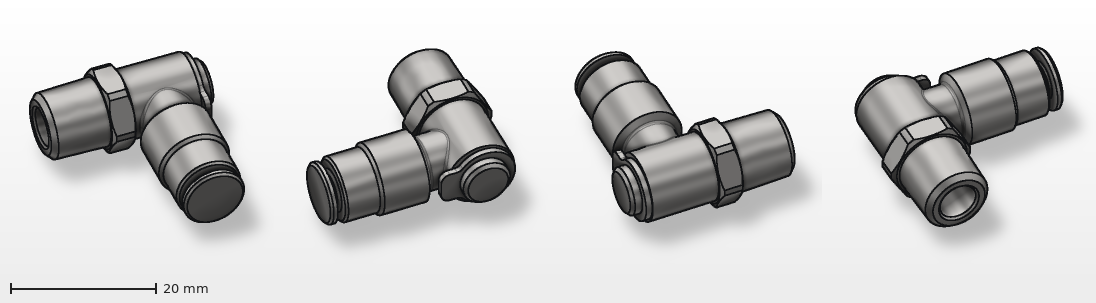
import cadquery as cq
import math


hex_across_flats = 11.0
hex_corner_radius = 6.08
hex_chamfer_radius = 5.38
hex_chamfer_angle = 30
hex_front = -8.5
hex_back = -4.95

body_radius = 5.0
body_end = body_radius
body_start = -body_radius
thread_end = -16.98
thread_root_radius = 4.98
thread_tip_radius = 4.78
thread_chamfer = 0.8
shaft_radius = 3.5
shaft_end = 7.53
shaft_chamfer = 0.5

bore_radius = 2.75
bore_mouth_chamfer = 0.35
bore_bottom = 0
pilot_radius = 1.05
pilot_length = 2 * pilot_radius
drill_point_angle = 118

ring_radius = 4.45
ring_offset = 0.3
ring_thickness = 0.9
lug_half_width = 2.43
lug_reach = 6.35
lug_corner_radius = 1.3
lug_fillet_radius = 1.08

neck_radius = 4.0
neck_body_fillet = 0.37
neck_sleeve_fillet = 0.5
sleeve_radius = 5.24
sleeve_start = 7.78
sleeve_end = 14.52
sleeve_cone_angle = 60
socket_radius = 4.75
socket_end = 20.1
socket_chamfer = 0.35

button_root_radius = 3.15
button_neck_radius = 2.58
button_neck_start = 20.45
button_neck_end = 20.89
button_flare = 0.17
flange_start = 21.25
flange_radius = 4.5
flange_chamfer = 0.37
flange_end = 28.3 - hex_corner_radius


def revolve_stem(points):
    """Revolve a closed (radius, y) outline about the Y axis."""
    return cq.Workplane("XY").polyline(points).close().revolve(360, (0, 0), (0, 1))


def revolve_port(points):
    """Revolve a closed (x, radius) outline about the X axis."""
    return cq.Workplane("XY").polyline(points).close().revolve(360, (0, 0), (1, 0))


def make_hexagon():
    corner_diameter = hex_across_flats / math.cos(math.radians(30))
    length = hex_back - hex_front
    prism = (
        cq.Workplane("XZ", origin=(0, hex_back, 0))
        .polygon(6, corner_diameter)
        .extrude(length)
    )
    chamfer_width = hex_corner_radius - hex_chamfer_radius
    chamfer_depth = chamfer_width * math.tan(math.radians(hex_chamfer_angle))
    turned_blank = revolve_stem([
        (0, hex_front),
        (hex_chamfer_radius, hex_front),
        (hex_corner_radius, hex_front + chamfer_depth),
        (hex_corner_radius, hex_back - chamfer_depth),
        (hex_chamfer_radius, hex_back),
        (0, hex_back),
    ])
    return prism.intersect(turned_blank)


def make_thread():
    return revolve_stem([
        (0, thread_end),
        (thread_tip_radius - thread_chamfer, thread_end),
        (thread_tip_radius, thread_end + thread_chamfer),
        (thread_root_radius, hex_front),
        (0, hex_front),
    ])


def make_shaft():
    return revolve_stem([
        (0, body_end),
        (shaft_radius, body_end),
        (shaft_radius, shaft_end - shaft_chamfer),
        (shaft_radius - shaft_chamfer, shaft_end),
        (0, shaft_end),
    ])


def make_bore():
    point_slope = math.tan(math.radians(drill_point_angle / 2))
    pilot_start = bore_bottom + (bore_radius - pilot_radius) / point_slope
    pilot_bottom = pilot_start + pilot_length
    return revolve_stem([
        (0, thread_end),
        (bore_radius + bore_mouth_chamfer, thread_end),
        (bore_radius, thread_end + bore_mouth_chamfer),
        (bore_radius, bore_bottom),
        (pilot_radius, pilot_start),
        (pilot_radius, pilot_bottom),
        (0, pilot_bottom + pilot_radius / point_slope),
    ])


def make_retaining_ring():
    fillet_height = lug_half_width + lug_fillet_radius
    center_distance = ring_radius + lug_fillet_radius
    fillet_run = math.sqrt(center_distance**2 - fillet_height**2)
    fillet_x = fillet_run - ring_offset
    touch_ratio = ring_radius / center_distance
    touch_x = fillet_run * touch_ratio - ring_offset
    touch_z = fillet_height * touch_ratio

    disc = cq.Workplane("XZ").center(-ring_offset, 0).circle(ring_radius).extrude(-ring_thickness)
    lug = (
        cq.Workplane("XZ")
        .moveTo(0, -lug_half_width)
        .lineTo(lug_reach, -lug_half_width)
        .lineTo(lug_reach, lug_half_width)
        .lineTo(0, lug_half_width)
        .close()
        .extrude(-ring_thickness)
        .edges("|Y and >X")
        .fillet(lug_corner_radius)
    )
    ring = disc.union(lug)
    for side in (1, -1):
        web = (
            cq.Workplane("XZ")
            .polyline([
                (0, 0),
                (touch_x, side * touch_z),
                (fillet_x, side * fillet_height),
                (fillet_x, side * lug_half_width),
            ])
            .close()
            .extrude(-ring_thickness)
        )
        relief = (
            cq.Workplane("XZ")
            .center(fillet_x, side * fillet_height)
            .circle(lug_fillet_radius)
            .extrude(-ring_thickness)
        )
        ring = ring.union(web.cut(relief))
    return ring.translate((0, body_end, 0))


def make_body_with_neck():
    body = revolve_stem([
        (0, body_start),
        (body_radius, body_start),
        (body_radius, body_end),
        (0, body_end),
    ])
    neck = cq.Workplane("YZ").circle(neck_radius).extrude(sleeve_start)
    joined = body.union(neck)
    seam_zone = cq.selectors.BoxSelector(
        (neck_body_fillet, -neck_radius - neck_body_fillet, -body_radius),
        (body_radius + neck_body_fillet, neck_radius + neck_body_fillet, body_radius),
    )
    return joined.edges(seam_zone).fillet(neck_body_fillet)


def make_sleeve():
    slope = math.radians(sleeve_cone_angle)
    cone_start = sleeve_start - (sleeve_radius - neck_radius) / math.tan(slope)
    tangent_length = neck_sleeve_fillet * math.tan(slope / 2)
    arc_start = (cone_start - tangent_length, neck_radius)
    arc_end = (
        cone_start + tangent_length * math.cos(slope),
        neck_radius + tangent_length * math.sin(slope),
    )
    arc_middle = (
        arc_start[0] + neck_sleeve_fillet * math.sin(slope / 2),
        neck_radius + neck_sleeve_fillet * (1 - math.cos(slope / 2)),
    )
    step = sleeve_radius - socket_radius
    return (
        cq.Workplane("XY")
        .moveTo(arc_start[0], 0)
        .lineTo(*arc_start)
        .threePointArc(arc_middle, arc_end)
        .lineTo(sleeve_start, sleeve_radius)
        .lineTo(sleeve_end, sleeve_radius)
        .lineTo(sleeve_end + step, socket_radius)
        .lineTo(socket_end - socket_chamfer, socket_radius)
        .lineTo(socket_end, socket_radius - socket_chamfer)
        .lineTo(socket_end, 0)
        .close()
        .revolve(360, (0, 0), (1, 0))
    )


def make_release_button():
    return revolve_port([
        (socket_end, 0),
        (socket_end, button_root_radius),
        (button_neck_start, button_neck_radius),
        (button_neck_end, button_neck_radius),
        (flange_start, button_neck_radius + button_flare),
        (flange_start, flange_radius),
        (flange_end - flange_chamfer, flange_radius),
        (flange_end, flange_radius - flange_chamfer),
        (flange_end, 0),
    ])


result = (
    make_body_with_neck()
    .union(make_hexagon())
    .union(make_thread())
    .union(make_shaft())
    .union(make_retaining_ring())
    .union(make_sleeve())
    .union(make_release_button())
    .cut(make_bore())
)